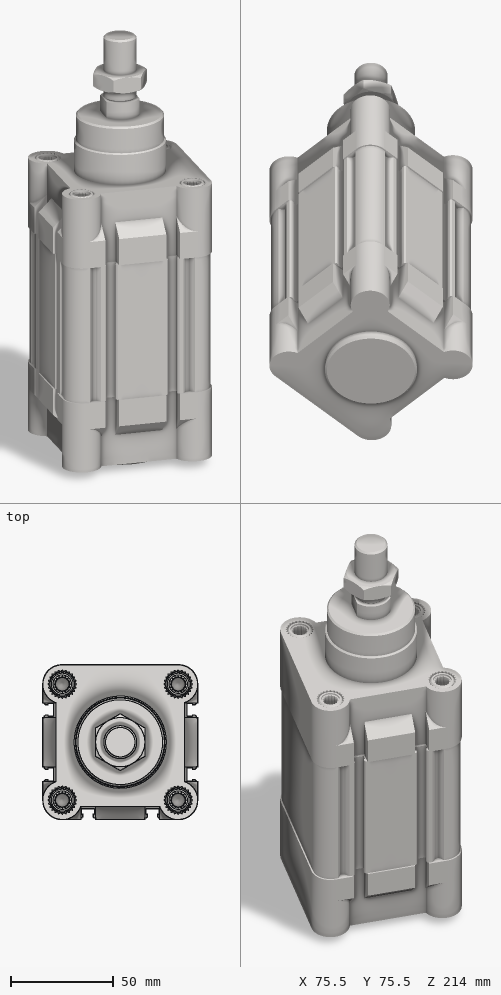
import cadquery as cq
import math

total_height = 214
rear_cap_bottom = 4.0
cap_height = 35.5
front_cap_top = 144.7
rear_cap_top = rear_cap_bottom + cap_height
front_cap_bottom = front_cap_top - cap_height
collar_step_z = 160.7
collar_top = 174.0
thread_start = 182.3
nut_bottom = 188.0

cap_width = 75.5
cap_half = cap_width / 2
boss_center = 28.2
boss_radius = cap_half - boss_center
boss_places = [(x, y) for x in (-boss_center, boss_center) for y in (-boss_center, boss_center)]
cap_face = 31.2
centre_pad_half_width = 12.0
corner_pad_inner = 19.0
corner_pad_width = boss_center - corner_pad_inner
pad_height = 13.5
pad_depth = cap_half - cap_face
ported_sides = (-90, 0, 90)

tube_half = 37.0
tube_radius = tube_half - boss_center

slot_inner = 12.6
slot_outer = 18.8
slot_floor = 32.5
lip_overhang = 0.6
lip_thickness = 2.0
lip_chamfer = 0.6

groove_inner = 21.0
groove_knee = 23.0
groove_bottom = 24.6
groove_outer = 26.8
groove_knee_depth = 2.0
groove_depth = 2.5

pilot_diameter = 45
collar_diameter = 43.0
collar_chamfer = 0.9
pilot_chamfer = 0.6
base_chamfer = 0.96

pocket_diameter = 14.0
pocket_tip_diameter = 12.2
pocket_teeth = 24
screw_depth = 6.5
head_diameter = 12.0
head_chamfer = 0.6
socket_mouth_diameter = 9.0
socket_mouth_depth = 0.9
socket_diameter = 8.0
socket_tip_diameter = 6.6
socket_teeth = 16
drill_tip_angle = 118

rod_diameter = 20.0
rod_flats = 17.0
rod_insertion = collar_top - collar_step_z
thread_diameter = 16.0
thread_tip_diameter = 14.3
thread_neck_diameter = 15
nut_sides = 6
nut_flats = 24.0
nut_height = 8.1
nut_chamfer_angle = 30


def round_square(half, radius, bottom, height):
    """Square prism centred on the axis with rounded upright edges."""
    block = cq.Workplane("XY", origin=(0, 0, bottom)).rect(2 * half, 2 * half).extrude(height)
    return block.edges("|Z").fillet(radius)


def cylinder(diameter, bottom, height, x=0, y=0):
    return cq.Workplane("XY", origin=(x, y, bottom)).circle(diameter / 2).extrude(height)


def star(root_diameter, tip_diameter, teeth, bottom, height):
    """Prism with a saw-tooth outline."""
    points = []
    for step in range(2 * teeth):
        radius = (root_diameter if step % 2 == 0 else tip_diameter) / 2
        angle = math.pi * step / teeth
        points.append((radius * math.cos(angle), radius * math.sin(angle)))
    return cq.Workplane("XY", origin=(0, 0, bottom)).polyline(points).close().extrude(height)


def turned(shape, angle):
    return shape.rotate((0, 0, 0), (0, 0, 1), angle)


def pad(left, width):
    """Raised pad on the recessed -Y cap face, its top sloping back at 45 degrees."""
    profile = [
        (-cap_face, front_cap_bottom),
        (-cap_half, front_cap_bottom),
        (-cap_half, front_cap_bottom + pad_height),
        (-cap_face, front_cap_bottom + pad_height + pad_depth),
    ]
    return cq.Workplane("YZ", origin=(left, 0, 0)).polyline(profile).close().extrude(width)


def cap_block(width, back):
    """Block reaching from the recessed -Y face to the given distance behind the axis."""
    base = cq.Workplane("XY", origin=(-width / 2, -cap_face, front_cap_bottom))
    return base.rect(width, cap_face + back, centered=False).extrude(cap_height)


def front_cap():
    """Cap with four round bosses and padded recessed faces on three sides."""
    cap = cap_block(2 * cap_face, boss_center).union(cap_block(2 * boss_center, cap_half))
    for x, y in boss_places:
        cap = cap.union(cylinder(2 * boss_radius, front_cap_bottom, cap_height, x, y))
    for angle in ported_sides:
        cap = cap.union(turned(pad(-centre_pad_half_width, 2 * centre_pad_half_width), angle))
        cap = cap.union(turned(pad(corner_pad_inner, corner_pad_width), angle))
        cap = cap.union(turned(pad(-boss_center, corner_pad_width), angle))
    return cap


def rear_cap():
    """The front cap mirrored about the middle of the tube."""
    middle = (front_cap_bottom + rear_cap_top) / 2
    return front_cap().mirror("XY", (0, 0, middle))


def tube_cut(outline):
    """Cutter with the given outline, as long as the tube."""
    base = cq.Workplane("XY", origin=(0, 0, rear_cap_top))
    return base.polyline(outline).close().extrude(front_cap_bottom - rear_cap_top)


def slot_cut():
    """Undercut slot right of the middle of the -Y tube face."""
    lip_bottom = -tube_half + lip_thickness
    chamfer_bottom = -tube_half + lip_chamfer
    outline = [
        (slot_inner + lip_overhang - lip_chamfer, -tube_half),
        (slot_inner + lip_overhang, chamfer_bottom),
        (slot_inner + lip_overhang, lip_bottom),
        (slot_inner, lip_bottom),
        (slot_inner, -slot_floor),
        (slot_outer, -slot_floor),
        (slot_outer, lip_bottom),
        (slot_outer - lip_overhang, lip_bottom),
        (slot_outer - lip_overhang, chamfer_bottom),
        (slot_outer - lip_overhang + lip_chamfer, -tube_half),
    ]
    return tube_cut(outline)


def groove_cut():
    """Shallow groove beside the tube corner, right of the middle of the -Y face."""
    outline = [
        (groove_inner, -tube_half),
        (groove_knee, -tube_half + groove_knee_depth),
        (groove_bottom, -tube_half + groove_depth),
        (groove_outer, -tube_half),
    ]
    return tube_cut(outline)


def tube():
    """Tube profile with slots and grooves on three sides."""
    profile = round_square(tube_half, tube_radius, rear_cap_top, front_cap_bottom - rear_cap_top)
    for cutter in (slot_cut(), groove_cut()):
        for angle in ported_sides:
            profile = profile.cut(turned(cutter, angle))
            profile = profile.cut(turned(cutter.mirror("YZ"), angle))
    return profile


def pilots():
    """Stepped collar around the rod and the short pilot at the rear."""
    lower = cylinder(pilot_diameter, front_cap_top, collar_step_z - front_cap_top)
    lower = lower.faces(">Z").chamfer(pilot_chamfer)
    upper = cylinder(collar_diameter, collar_step_z, collar_top - collar_step_z)
    upper = upper.faces(">Z").chamfer(collar_chamfer)
    rear = cylinder(pilot_diameter, 0, rear_cap_bottom)
    rear = rear.faces("<Z").chamfer(base_chamfer)
    return lower.union(upper).union(rear)


def screw_recess():
    """Space left around a screw head and inside its toothed socket, on the axis."""
    floor = front_cap_top - screw_depth
    pocket = star(pocket_diameter, pocket_tip_diameter, pocket_teeth, floor, screw_depth)
    head = cylinder(head_diameter, floor, screw_depth).faces(">Z").chamfer(head_chamfer)
    mouth = cylinder(socket_mouth_diameter, front_cap_top - socket_mouth_depth, socket_mouth_depth)
    socket = star(socket_diameter, socket_tip_diameter, socket_teeth, floor, screw_depth)
    tip_radius = socket_tip_diameter / 2
    tip_height = tip_radius / math.tan(math.radians(drill_tip_angle / 2))
    cone = cq.Solid.makeCone(0, tip_radius, tip_height, cq.Vector(0, 0, floor - tip_height))
    return pocket.cut(head).union(mouth).union(socket).union(cq.Workplane(cone))


def make_housing():
    """Tube, caps, pilots and tie screws as one solid with a bore for the rod."""
    housing = tube().union(front_cap()).union(rear_cap()).union(pilots())
    recess = screw_recess()
    for x, y in boss_places:
        housing = housing.cut(recess.translate((x, y, 0)))
    return housing.cut(cylinder(rod_diameter, collar_top - rod_insertion, rod_insertion))


def make_rod():
    """Piston rod with wrench flats and a threaded end."""
    shank = cylinder(rod_diameter, collar_top - rod_insertion, rod_insertion)
    flats_height = thread_start - collar_top
    between_flats = (
        cq.Workplane("XY", origin=(0, 0, collar_top)).rect(rod_diameter, rod_flats).extrude(flats_height)
    )
    wrench_section = cylinder(rod_diameter, collar_top, flats_height).intersect(between_flats)
    thread = cylinder(thread_diameter, thread_start, total_height - thread_start)
    thread = thread.faces(">Z").chamfer((thread_diameter - thread_tip_diameter) / 2)
    thread = thread.faces("<Z").chamfer((thread_diameter - thread_neck_diameter) / 2)
    return shank.union(wrench_section).union(thread)


def make_nut():
    """Hexagon lock nut bevelled on both ends."""
    corner_diameter = nut_flats / math.cos(math.pi / nut_sides)
    base = cq.Workplane("XY", origin=(0, 0, nut_bottom))
    hexagon = base.polygon(nut_sides, corner_diameter).extrude(nut_height)
    hexagon = turned(hexagon, 180 / nut_sides)
    bevel_width = (corner_diameter - nut_flats) / 2
    bevel_height = bevel_width * math.tan(math.radians(nut_chamfer_angle))
    envelope = cylinder(corner_diameter, nut_bottom, nut_height)
    envelope = envelope.faces("<Z or >Z").chamfer(bevel_height, bevel_width)
    bore = cylinder(thread_diameter, nut_bottom, nut_height)
    return hexagon.intersect(envelope).cut(bore)


housing = make_housing()
rod = make_rod()
nut = make_nut()
result = cq.Compound.makeCompound([housing.val(), rod.val(), nut.val()])